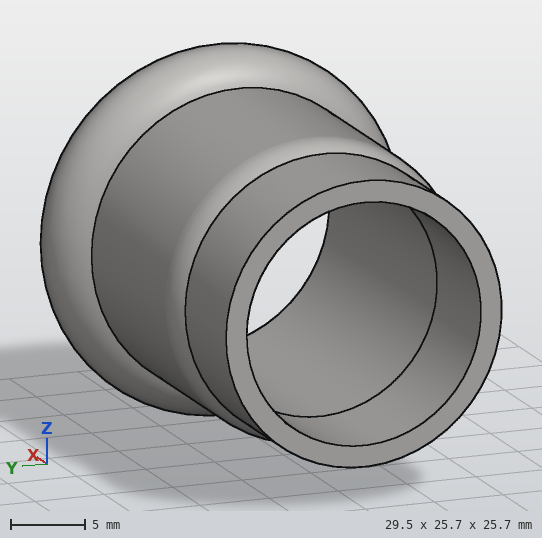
import cadquery as cq
import math

length = 29.5
wall = 1.5

spigot_radius = 20.0 / 2
body_radius = 21.3 / 2
bead_outer_radius = 25.72 / 2

shoulder_start = 7.5
shoulder_end = 9.53

spigot_bore_radius = spigot_radius - wall
body_bore_radius = body_radius - wall

shoulder_run = shoulder_end - shoulder_start
shoulder_rise = body_radius - spigot_radius
shoulder_arc_radius = (shoulder_run**2 + shoulder_rise**2) / (2 * shoulder_rise)
shoulder_center_radius = body_radius - shoulder_arc_radius

bead_section_radius = 3.33
bead_center_x = length - bead_section_radius
bead_center_radius = bead_outer_radius - bead_section_radius
bead_start = bead_center_x - math.sqrt(
    bead_section_radius**2 - (body_radius - bead_center_radius) ** 2
)


def shoulder_point(arc_radius, start_radius, fraction):
    """Point on a shoulder arc, from start_radius (fraction 0) to the tangent end (1)."""
    start_angle = math.acos((start_radius - shoulder_center_radius) / arc_radius)
    angle = start_angle * (1 - fraction)
    return (
        shoulder_end - arc_radius * math.sin(angle),
        shoulder_center_radius + arc_radius * math.cos(angle),
    )


def outer_shape():
    """Spigot, shoulder, body and bead as one solid of revolution about X."""
    profile = (
        cq.Workplane("XY")
        .lineTo(0, spigot_radius)
        .lineTo(shoulder_start, spigot_radius)
        .threePointArc(
            shoulder_point(shoulder_arc_radius, spigot_radius, 0.5),
            (shoulder_end, body_radius),
        )
        .lineTo(bead_start, body_radius)
        .threePointArc((bead_center_x, bead_outer_radius), (length, bead_center_radius))
        .lineTo(length, 0)
        .close()
    )
    return profile.revolve(360, (0, 0, 0), (1, 0, 0))


def bore():
    """Stepped bore whose shoulder is concentric with the outer shoulder."""
    arc_radius = shoulder_arc_radius - wall
    profile = (
        cq.Workplane("XY")
        .lineTo(0, spigot_bore_radius)
        .lineTo(*shoulder_point(arc_radius, spigot_bore_radius, 0))
        .threePointArc(
            shoulder_point(arc_radius, spigot_bore_radius, 0.5),
            (shoulder_end, body_bore_radius),
        )
        .lineTo(length, body_bore_radius)
        .lineTo(length, 0)
        .close()
    )
    return profile.revolve(360, (0, 0, 0), (1, 0, 0))


result = outer_shape().cut(bore())